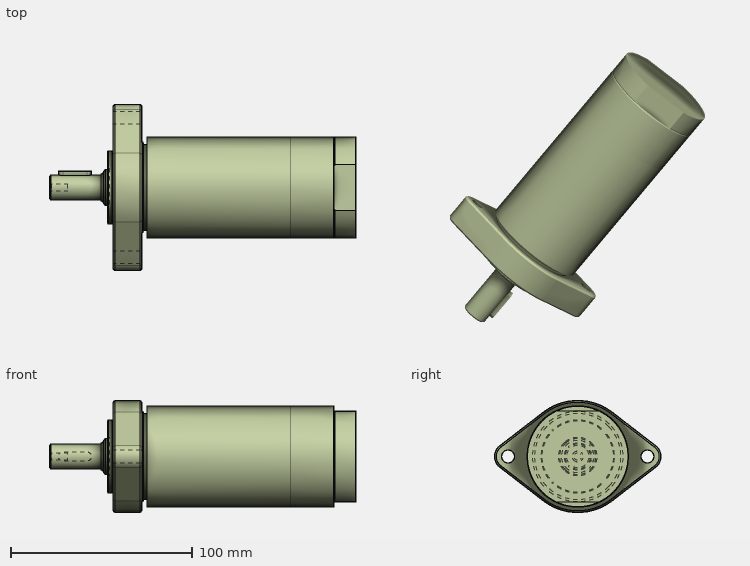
import cadquery as cq
import math

SHAFT_SHOULDER = 28.3
PILOT_FRONT = 32.0
FLANGE_FRONT = 35.0
FLANGE_THICKNESS = 16.0
FLANGE_REAR = FLANGE_FRONT + FLANGE_THICKNESS
SPIGOT_CONE_START = 51.5
SPIGOT_CONE_END = 51.9
BODY_FRONT = 53.8
BODY_JOINT = 133.0
CAP_FRONT = 157.2
TOTAL_LENGTH = 169.2

SHAFT_DIA = 14.0
JOURNAL_DIA = 14.95
SEAL_DIA = 19.95
SEAL_RECESS_DIA = 21.25
PILOT_DIA = 40.5
SPIGOT_DIA = 50.0
SPIGOT_NECK_DIA = 47.6
BODY_DIA = 56.0

SHAFT_CHAMFER = 0.8
SEAL_CHAMFER = 1.0
PILOT_CHAMFER = 0.5
PILOT_UNDERCUT_WIDTH = 0.6
PILOT_UNDERCUT_DIA = 39.5
SEAL_RECESS_DEPTH = 1.0
FLANGE_CHAMFER = 1.0
CAP_GROOVE_HALF_WIDTH = 0.5
CAP_GROOVE_DEPTH = 0.25

FLANGE_CROWN_RADIUS = 31.0
BOLT_OFFSET = 38.5
EAR_RADIUS = 7.5
BOLT_HOLE_DIA = 7.0

KEY_START = 4.8
KEY_LENGTH = 18.3
KEY_WIDTH = 5.0
KEY_TOP = 9.0

CENTRE_HOLE_DIA = 4.13
CENTRE_SINK_DIA = 6.0
CENTRE_HOLE_DEPTH = 10.0

FLAT_OFFSET = 25.0


def make_front_section():
    """Shaft, seal, pilot, spigot and front body section, revolved about X."""
    shaft_r = SHAFT_DIA / 2
    journal_r = JOURNAL_DIA / 2
    seal_r = SEAL_DIA / 2
    recess_r = SEAL_RECESS_DIA / 2
    pilot_r = PILOT_DIA / 2
    undercut_r = PILOT_UNDERCUT_DIA / 2
    spigot_r = SPIGOT_DIA / 2
    neck_r = SPIGOT_NECK_DIA / 2
    body_r = BODY_DIA / 2
    flare_r = seal_r - SEAL_CHAMFER - journal_r
    seal_front = SHAFT_SHOULDER + flare_r
    recess_floor = PILOT_FRONT + SEAL_RECESS_DEPTH
    undercut_start = FLANGE_FRONT - PILOT_UNDERCUT_WIDTH

    profile = (
        cq.Workplane("XY")
        .lineTo(0, shaft_r - SHAFT_CHAMFER)
        .lineTo(SHAFT_CHAMFER, shaft_r)
        .lineTo(SHAFT_SHOULDER, shaft_r)
        .lineTo(SHAFT_SHOULDER, journal_r)
        .radiusArc((seal_front, journal_r + flare_r), -flare_r)
        .lineTo(seal_front + SEAL_CHAMFER, seal_r)
        .lineTo(recess_floor, seal_r)
        .lineTo(recess_floor, recess_r)
        .lineTo(PILOT_FRONT, recess_r)
        .lineTo(PILOT_FRONT, pilot_r - PILOT_CHAMFER)
        .lineTo(PILOT_FRONT + PILOT_CHAMFER, pilot_r)
        .lineTo(undercut_start, pilot_r)
        .lineTo(undercut_start, undercut_r)
        .lineTo(FLANGE_REAR, undercut_r)
        .lineTo(FLANGE_REAR, spigot_r)
        .lineTo(SPIGOT_CONE_START, spigot_r)
        .lineTo(SPIGOT_CONE_END, neck_r)
        .lineTo(BODY_FRONT, neck_r)
        .lineTo(BODY_FRONT, body_r)
        .lineTo(BODY_JOINT, body_r)
        .lineTo(BODY_JOINT, 0)
        .close()
    )
    return profile.revolve(360, (0, 0, 0), (1, 0, 0))


def make_rear_section():
    """Rear body section and round end cap, parted by a V groove."""
    body_r = BODY_DIA / 2
    profile = (
        cq.Workplane("XY")
        .moveTo(BODY_JOINT, 0)
        .lineTo(BODY_JOINT, body_r)
        .lineTo(CAP_FRONT - CAP_GROOVE_HALF_WIDTH, body_r)
        .lineTo(CAP_FRONT, body_r - CAP_GROOVE_DEPTH)
        .lineTo(CAP_FRONT + CAP_GROOVE_HALF_WIDTH, body_r)
        .lineTo(TOTAL_LENGTH, body_r)
        .lineTo(TOTAL_LENGTH, 0)
        .close()
    )
    return profile.revolve(360, (0, 0, 0), (1, 0, 0))


def make_flange():
    """Rhombic flange: a round crown joined to two ears by tangent straight sides."""
    side_cos = (FLANGE_CROWN_RADIUS - EAR_RADIUS) / BOLT_OFFSET
    side_sin = math.sqrt(1 - side_cos**2)
    crown_y = FLANGE_CROWN_RADIUS * side_cos
    crown_z = FLANGE_CROWN_RADIUS * side_sin
    ear_y = BOLT_OFFSET + EAR_RADIUS * side_cos
    ear_z = EAR_RADIUS * side_sin
    ear_tip = BOLT_OFFSET + EAR_RADIUS

    plate = (
        cq.Workplane("YZ", origin=(FLANGE_FRONT, 0, 0))
        .moveTo(-crown_y, crown_z)
        .threePointArc((0, FLANGE_CROWN_RADIUS), (crown_y, crown_z))
        .lineTo(ear_y, ear_z)
        .threePointArc((ear_tip, 0), (ear_y, -ear_z))
        .lineTo(crown_y, -crown_z)
        .threePointArc((0, -FLANGE_CROWN_RADIUS), (-crown_y, -crown_z))
        .lineTo(-ear_y, -ear_z)
        .threePointArc((-ear_tip, 0), (-ear_y, ear_z))
        .close()
        .extrude(FLANGE_THICKNESS)
    )
    plate = plate.faces("<X or >X").chamfer(FLANGE_CHAMFER)
    bolt_holes = (
        cq.Workplane("YZ", origin=(FLANGE_FRONT, 0, 0))
        .pushPoints([(-BOLT_OFFSET, 0), (BOLT_OFFSET, 0)])
        .circle(BOLT_HOLE_DIA / 2)
        .extrude(FLANGE_THICKNESS)
    )
    return plate.cut(bolt_holes)


def make_key():
    """Round-ended key standing on the +Y side of the shaft."""
    return (
        cq.Workplane("XZ")
        .center(KEY_START + KEY_LENGTH / 2, 0)
        .slot2D(KEY_LENGTH, KEY_WIDTH)
        .extrude(-KEY_TOP)
    )


def make_centre_hole():
    """Blind hole with a 45 degree countersink in the shaft tip."""
    hole_r = CENTRE_HOLE_DIA / 2
    sink_r = CENTRE_SINK_DIA / 2
    return (
        cq.Workplane("XY")
        .lineTo(0, sink_r)
        .lineTo(sink_r - hole_r, hole_r)
        .lineTo(CENTRE_HOLE_DEPTH, hole_r)
        .lineTo(CENTRE_HOLE_DEPTH, 0)
        .close()
        .revolve(360, (0, 0, 0), (1, 0, 0))
    )


def make_flat_cutter(side):
    """Block that removes the cap beyond one wrench flat; side is +1 or -1."""
    cap_length = TOTAL_LENGTH - CAP_FRONT
    return (
        cq.Workplane("XY")
        .box(cap_length, BODY_DIA, BODY_DIA)
        .translate((CAP_FRONT + cap_length / 2, 0, side * (FLAT_OFFSET + BODY_DIA / 2)))
    )


result = make_front_section()
result = result.union(make_rear_section(), clean=False)
result = result.union(make_flange(), clean=False)
result = result.union(make_key(), clean=False)
result = result.cut(make_centre_hole(), clean=False)
for flat_side in (1, -1):
    result = result.cut(make_flat_cutter(flat_side), clean=False)